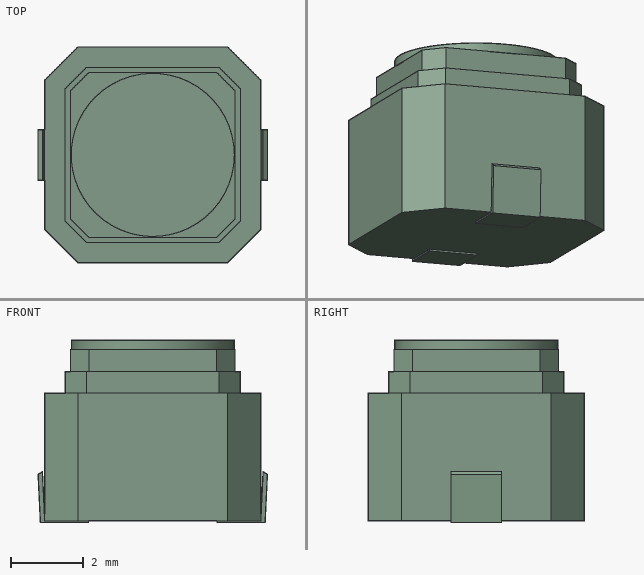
import cadquery as cq

overall_length = 6.29
overall_height = 5.0

body_width = 5.92
body_corner = 0.91
body_top = 3.55
collar_width = 4.8
collar_corner = 0.585
collar_top = 4.14
cap_width = 4.52
cap_corner = 0.51
cap_top = 4.75

button_diameter = 4.47

terminal_width = 1.39
foot_thickness = 0.05
foot_inner_x = 1.755
leg_thickness = 0.125
leg_lean = 0.063
leg_outer_height = 1.32
leg_inner_height = 1.4


def square_tier(width, corner, bottom, top):
    """Square block with its four vertical edges chamfered."""
    block = cq.Workplane("XY").workplane(offset=bottom).rect(width, width).extrude(top - bottom)
    return block.edges("|Z").chamfer(corner)


def button():
    """Thin disc that stands on the cap."""
    disc = cq.Workplane("XY").workplane(offset=cap_top).circle(button_diameter / 2)
    return disc.extrude(overall_height - cap_top)


def terminal(side):
    """Foot under the body and a leg leaning outward; side is +1 or -1 along X."""
    leg_top_x = overall_length / 2
    leg_base_x = leg_top_x - leg_lean
    profile = [
        (foot_inner_x, 0),
        (leg_base_x, 0),
        (leg_top_x, leg_outer_height),
        (leg_top_x - leg_thickness, leg_inner_height),
        (leg_base_x - leg_thickness, foot_thickness),
        (foot_inner_x, foot_thickness),
    ]
    outline = cq.Workplane("XZ").polyline([(side * x, z) for x, z in profile]).close()
    return outline.extrude(terminal_width / 2, both=True)


result = square_tier(body_width, body_corner, foot_thickness, body_top)
result = result.union(square_tier(collar_width, collar_corner, body_top, collar_top))
result = result.union(square_tier(cap_width, cap_corner, collar_top, cap_top))
result = result.union(button())
for side in (-1, 1):
    result = result.union(terminal(side))